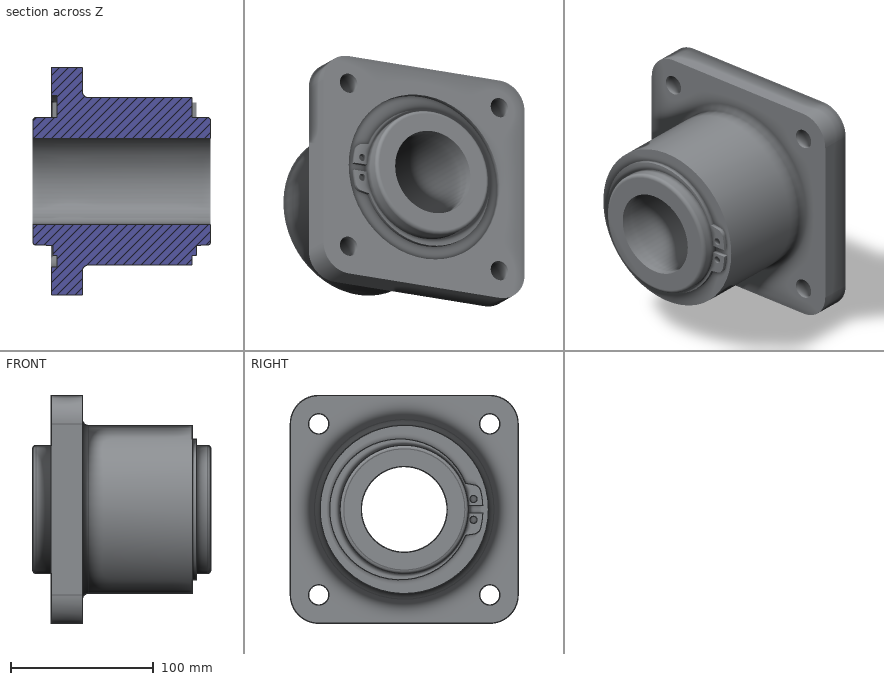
import cadquery as cq
import math

sleeve_length = 125.0
sleeve_radius = 45.0
bore_radius = 30.0
sleeve_end_rounding = 2.5

flange_size = 160.0
flange_thickness = 22.0
flange_corner_radius = 20.0
bolt_spacing = 120.0
bolt_hole_diameter = 14.0

housing_length = 99.0
housing_radius = 59.0
neck_fillet = 4.0
recess_radius = 60.0
recess_depth = 4.0

ring_thickness = 3.0
ring_radius = 49.4
ring_offset = 2.9
lug_radius = 55.2
lug_gap = 5.2
lug_root_y = 43.0
lug_tip_angle = 17.5
lug_corner_rounding = 5.5
lug_hole_diameter = 5.0
lug_hole_y = 48.6
lug_hole_z = 7.3

sleeve_start = -sleeve_length / 2
flange_face = -housing_length / 2
flange_back = flange_face + flange_thickness
body_end = housing_length / 2
recess_floor = flange_face + recess_depth


def plane_at(x):
    """Workplane facing +X at the given X; its local axes are Y and Z."""
    return cq.Workplane("YZ", origin=(x, 0, 0))


def make_flange():
    flange = plane_at(flange_face).rect(flange_size, flange_size).extrude(flange_thickness)
    flange = flange.edges("|X").fillet(flange_corner_radius)
    bolt_holes = (
        plane_at(flange_face)
        .rect(bolt_spacing, bolt_spacing, forConstruction=True)
        .vertices()
        .circle(bolt_hole_diameter / 2)
        .extrude(flange_thickness)
    )
    return flange.cut(bolt_holes)


def make_housing():
    body = plane_at(flange_back).circle(housing_radius).extrude(body_end - flange_back)
    housing = make_flange().union(body)
    neck = cq.NearestToPointSelector((flange_back, 0, 0))
    housing = housing.edges(neck).fillet(neck_fillet)
    recess = plane_at(flange_face).circle(recess_radius).extrude(recess_depth)
    return housing.cut(recess)


def make_sleeve():
    sleeve = plane_at(sleeve_start).circle(sleeve_radius).extrude(sleeve_length)
    return sleeve.edges("%CIRCLE").fillet(sleeve_end_rounding)


def make_lugs(x):
    """Both plier lugs, joined across the gap until the gap is cut."""
    lug_root_z = math.sqrt(ring_radius**2 - (lug_root_y + ring_offset) ** 2)
    tip_y = lug_radius * math.cos(math.radians(lug_tip_angle))
    tip_z = lug_radius * math.sin(math.radians(lug_tip_angle))
    lugs = (
        plane_at(x)
        .moveTo(0, -lug_root_z)
        .lineTo(lug_root_y, -lug_root_z)
        .lineTo(tip_y, -tip_z)
        .threePointArc((lug_radius, 0), (tip_y, tip_z))
        .lineTo(lug_root_y, lug_root_z)
        .lineTo(0, lug_root_z)
        .close()
        .extrude(ring_thickness)
    )
    return lugs.edges("|X").edges(">Y").fillet(lug_corner_rounding)


def make_retaining_ring(x):
    ring = plane_at(x).center(-ring_offset, 0).circle(ring_radius).extrude(ring_thickness)
    gap = plane_at(x).center(lug_radius / 2, 0).rect(lug_radius, lug_gap).extrude(ring_thickness)
    lug_holes = (
        plane_at(x)
        .pushPoints([(lug_hole_y, -lug_hole_z), (lug_hole_y, lug_hole_z)])
        .circle(lug_hole_diameter / 2)
        .extrude(ring_thickness)
    )
    return ring.union(make_lugs(x)).cut(gap).cut(lug_holes)


bore = plane_at(sleeve_start).circle(bore_radius).extrude(sleeve_length)

result = make_housing()
for ring_start in (recess_floor - ring_thickness, body_end):
    result = result.union(make_retaining_ring(ring_start))
result = result.union(make_sleeve()).cut(bore)